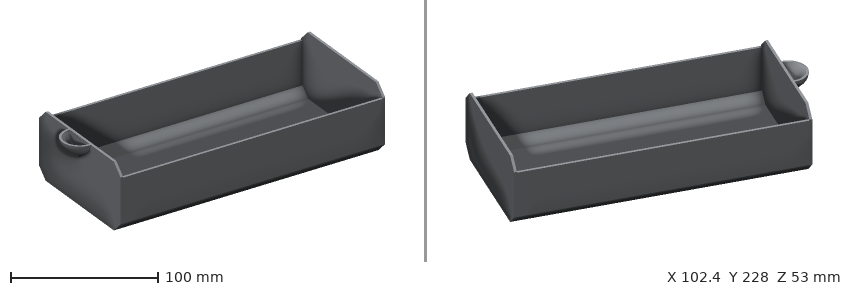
import cadquery as cq
import math

WIDTH = 102.4
TOTAL_LENGTH = 228.0
HEIGHT = 53.0
WALL = 2.0
CORNER = 8.5
SIDE_DROP = 9.1

HANDLE_RADIUS = 14.1
HANDLE_DEPTH = 15.5
HANDLE_WALL = 1.8
HANDLE_MID_RADIUS = 9.0
HANDLE_MID_DEPTH = 9.0
HOLLOW_DEPTH = 11.9

TRAY_LENGTH = TOTAL_LENGTH - HANDLE_RADIUS
SIDE_HEIGHT = HEIGHT - SIDE_DROP
INNER_CORNER = CORNER - WALL * (2 - math.sqrt(2))


def octagonal_prism(width, height, length, corner):
    """Chamfered rectangular prism standing on Z = 0 and starting at Y = 0."""
    block = cq.Workplane("XY").box(width, length, height, centered=(True, False, False))
    return block.edges("|Y").chamfer(corner)


def tray():
    """Open box with full-height end plates and lower side walls."""
    inner_width = WIDTH - 2 * WALL
    inner_length = TRAY_LENGTH - 2 * WALL
    cavity = octagonal_prism(inner_width, 2 * HEIGHT, inner_length, INNER_CORNER).translate((0, WALL, WALL))
    side_clearance = (
        cq.Workplane("XY")
        .box(WIDTH, inner_length, SIDE_DROP, centered=(True, False, False))
        .translate((0, WALL, SIDE_HEIGHT))
    )
    return octagonal_prism(WIDTH, HEIGHT, TRAY_LENGTH, CORNER).cut(cavity).cut(side_clearance)


def pointed_bowl():
    """Solid bowl about the vertical axis, steep at the rim and pointed at the bottom."""
    return (
        cq.Workplane("XZ")
        .moveTo(HANDLE_RADIUS, HEIGHT)
        .spline(
            [(HANDLE_MID_RADIUS, HEIGHT - HANDLE_MID_DEPTH), (0, HEIGHT - HANDLE_DEPTH)],
            tangents=[(0, -1), (-HANDLE_RADIUS, -HANDLE_DEPTH)],
            includeCurrent=True,
        )
        .lineTo(0, HEIGHT)
        .close()
        .revolve(360, (0, 0, 0), (0, 1, 0))
    )


def finger_hollow():
    """Slanted round hollow that runs from the rim back and down to the end plate."""
    radius = HANDLE_RADIUS - HANDLE_WALL
    rim = cq.Wire.makeCircle(radius, cq.Vector(0, 0, HEIGHT), cq.Vector(0, 0, 1))
    slant = cq.Vector(0, radius, -HOLLOW_DEPTH)
    return cq.Workplane("XY").add(cq.Solid.extrudeLinear(rim, [], slant))


def handle():
    """Front half of the bowl, hollowed from above."""
    front_half = cq.Workplane("XY").box(WIDTH, WIDTH, 2 * HEIGHT).translate((0, -WIDTH / 2, HEIGHT))
    return pointed_bowl().cut(finger_hollow()).intersect(front_half)


result = tray().union(handle())